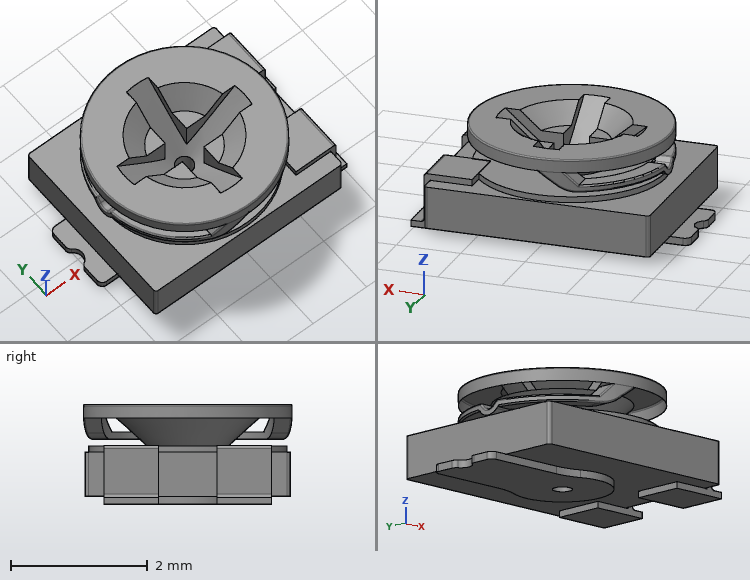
import cadquery as cq
import math


pick_margin = 0.005

housing_length = 3.5
housing_width = 3.0
housing_center_x = 0.01
housing_corner_radius = 0.05
housing_bottom = 0.115
housing_top = 0.763
housing_end_x = housing_center_x + housing_length / 2

disc_radius = 1.45
disc_top = 0.853
terminal_thickness = 0.1
terminal_width = 0.8
terminal_outer_y = 1.225
terminal_top_start_x = 1.105
terminal_pad_start_x = 1.145
terminal_pad_length = 0.915
terminal_bend_radius = 0.05
terminal_center_y = terminal_outer_y - terminal_width / 2
terminal_top = housing_top + terminal_thickness
terminal_wall_x = housing_end_x + terminal_thickness

plate_radius = 0.755
plate_neck_radius = 1.0
tab_end_x = -2.04
tab_width = 1.205
tab_edge_radius = 0.1
notch_radius = 0.172
notch_depth = 0.127

rotor_radius = 1.525
rotor_top = 1.46
flange_thickness = 0.2
flange_bottom = rotor_top - flange_thickness
rim_radius = 0.02
cone_top_radius = 1.045
shank_radius = 0.6

bowl_top_radius = 0.898
bowl_floor_radius = 0.582
bowl_depth = 0.283
slot_width = 0.4
slot_radius = 1.12
slot_cone_depth = 0.85
hole_radius = 0.148

wiper_inner_radius = 1.263
wiper_top = 1.058
wiper_thickness = 0.11
wiper_bottom = wiper_top - wiper_thickness
ramp_top_x = -0.41
ramp_foot_x = -0.605
ramp_heel_x = -0.443
ramp_bend_radius = 0.5
wiper_edge_radius = 0.025

groove_depth = 0.11
groove_radius = 0.125
groove_edge_radius = 0.025
contact_radius = 0.238
contact_inner_x = -1.215


def cylinder(radius, bottom, top):
    return cq.Workplane("XY").workplane(offset=bottom).circle(radius).extrude(top - bottom)


def make_housing():
    block = (
        cq.Workplane("XY")
        .workplane(offset=housing_bottom)
        .center(housing_center_x, 0)
        .rect(housing_length, housing_width)
        .extrude(housing_top - housing_bottom)
        .edges("|Z")
        .fillet(housing_corner_radius)
    )
    return block.cut(cylinder(shank_radius, housing_bottom, housing_top))


def make_terminal(center_y):
    """One strip bent around the +X end of the housing, with a solder pad underneath."""
    strip = (
        cq.Workplane("XZ", origin=(0, center_y, 0))
        .moveTo(terminal_top_start_x, housing_top)
        .lineTo(housing_end_x, housing_top)
        .lineTo(housing_end_x, terminal_thickness)
        .lineTo(terminal_pad_start_x, terminal_thickness)
        .lineTo(terminal_pad_start_x, 0)
        .lineTo(terminal_pad_start_x + terminal_pad_length, 0)
        .lineTo(terminal_pad_start_x + terminal_pad_length, terminal_thickness)
        .lineTo(terminal_wall_x, terminal_thickness)
        .lineTo(terminal_wall_x, terminal_top)
        .lineTo(terminal_top_start_x, terminal_top)
        .close()
        .extrude(terminal_width / 2, both=True)
    )
    bends = cq.selectors.BoxSelector(
        (terminal_wall_x - pick_margin, center_y - pick_margin, 0),
        (terminal_wall_x + pick_margin, center_y + pick_margin, terminal_top + pick_margin),
    )
    return strip.edges("|Y").edges(bends).fillet(terminal_bend_radius)


def make_resistor():
    """Resistor disc joined with the two end terminals."""
    disc = cylinder(disc_radius, housing_top, disc_top)
    for side in (-1, 1):
        disc = disc.union(make_terminal(side * terminal_center_y))
    return disc.cut(cylinder(shank_radius, housing_top, disc_top))


def make_collector_plate():
    tab = (
        cq.Workplane("XY")
        .center(tab_end_x / 2, 0)
        .rect(-tab_end_x, tab_width)
        .extrude(housing_bottom)
    )
    plate = tab.union(cylinder(plate_radius, 0, housing_bottom))
    neck_x = -math.sqrt(plate_radius**2 - (tab_width / 2) ** 2)
    necks = cq.selectors.BoxSelector(
        (neck_x - pick_margin, -tab_width, 0), (neck_x + pick_margin, tab_width, housing_bottom)
    )
    plate = plate.edges("|Z").edges(necks).fillet(plate_neck_radius)
    notch_center_x = tab_end_x + notch_depth - notch_radius
    notch = cylinder(notch_radius, 0, housing_bottom).translate((notch_center_x, 0, 0))
    plate = plate.cut(notch)
    tab_end = cq.selectors.BoxSelector(
        (tab_end_x - pick_margin, -tab_width, 0), (tab_end_x + pick_margin, tab_width, housing_bottom)
    )
    return plate.edges("|Z").edges(tab_end).fillet(tab_edge_radius)


def make_rotor_head():
    """Shank, cone and flange as one turned shape."""
    return (
        cq.Workplane("XZ")
        .moveTo(0, housing_bottom)
        .lineTo(shank_radius, housing_bottom)
        .lineTo(shank_radius, disc_top)
        .lineTo(cone_top_radius, flange_bottom)
        .lineTo(rotor_radius, flange_bottom)
        .lineTo(rotor_radius, rotor_top)
        .lineTo(0, rotor_top)
        .close()
        .revolve(360, (0, 0, 0), (0, 1, 0))
        .faces(">Z")
        .edges()
        .fillet(rim_radius)
    )


def make_driver_recess():
    """Round bowl with a deeper cross slot whose floor is a cone."""
    bowl = (
        cq.Workplane("XZ")
        .moveTo(0, rotor_top)
        .lineTo(bowl_top_radius, rotor_top)
        .lineTo(bowl_floor_radius, rotor_top - bowl_depth)
        .lineTo(0, rotor_top - bowl_depth)
        .close()
        .revolve(360, (0, 0, 0), (0, 1, 0))
    )
    slot_cone = (
        cq.Workplane("XZ")
        .moveTo(0, rotor_top)
        .lineTo(slot_radius, rotor_top)
        .lineTo(hole_radius, rotor_top - slot_cone_depth)
        .lineTo(0, rotor_top - slot_cone_depth)
        .close()
        .revolve(360, (0, 0, 0), (0, 1, 0))
    )
    cross = (
        cq.Workplane("XY")
        .rect(2 * rotor_radius, slot_width)
        .extrude(rotor_top)
        .union(cq.Workplane("XY").rect(slot_width, 2 * rotor_radius).extrude(rotor_top))
    )
    return bowl.union(slot_cone.intersect(cross))


def make_rounded_v(bottom, radius, top, inner_x):
    """Bar from inner_x out past the rim, with 45 degree flanks and a rounded tip at the bottom."""
    center_z = bottom + radius
    tangent = radius * math.sin(math.radians(45))
    half_width = tangent + top - (center_z - tangent)
    return (
        cq.Workplane("YZ", origin=(inner_x, 0, 0))
        .moveTo(-half_width, top)
        .lineTo(-tangent, center_z - tangent)
        .threePointArc((0, bottom), (tangent, center_z - tangent))
        .lineTo(half_width, top)
        .close()
        .extrude(-rotor_radius)
    )


def round_outer_edges(spring):
    """Round the long edges along the outside of the spring, leaving its root on the flange sharp."""
    outside = spring.faces("%CYLINDER").faces("<X").edges().vals()
    below_flange = flange_bottom - pick_margin
    long_edges = [edge for edge in outside if edge.BoundingBox().zmin < below_flange]
    return spring.newObject(long_edges).fillet(wiper_edge_radius)


def make_wiper():
    ring = cylinder(rotor_radius, disc_top, flange_bottom).cut(
        cylinder(wiper_inner_radius, disc_top, flange_bottom)
    )
    spring = (
        cq.Workplane("XZ")
        .moveTo(0, flange_bottom)
        .lineTo(ramp_top_x, flange_bottom)
        .lineTo(ramp_foot_x, wiper_top)
        .lineTo(-rotor_radius, wiper_top)
        .lineTo(-rotor_radius, wiper_bottom)
        .lineTo(ramp_heel_x, wiper_bottom)
        .close()
        .extrude(rotor_radius, both=True)
    )
    heel = cq.selectors.NearestToPointSelector((ramp_heel_x, 0, wiper_bottom))
    spring = spring.edges("|Y").edges(heel).fillet(ramp_bend_radius).intersect(ring)
    spring = round_outer_edges(spring)
    contact_top = wiper_bottom + wiper_edge_radius
    contact = make_rounded_v(disc_top, contact_radius, contact_top, contact_inner_x)
    contact = contact.intersect(cylinder(rotor_radius, disc_top, contact_top))
    groove = make_rounded_v(wiper_top - groove_depth, groove_radius, wiper_top, 0)
    wiper = spring.union(contact).cut(groove)
    shoulders = cq.selectors.BoxSelector(
        (-rotor_radius, -rotor_radius, wiper_top - pick_margin),
        (0, rotor_radius, wiper_top + pick_margin),
    )
    return wiper.edges("|X").edges(shoulders).fillet(groove_edge_radius)


def make_rotor():
    rotor = make_rotor_head().union(make_wiper()).union(make_collector_plate())
    return rotor.cut(make_driver_recess()).cut(cylinder(hole_radius, 0, rotor_top))


housing = make_housing()
resistor = make_resistor()
rotor = make_rotor()

result = cq.Compound.makeCompound([housing.val(), resistor.val(), rotor.val()])